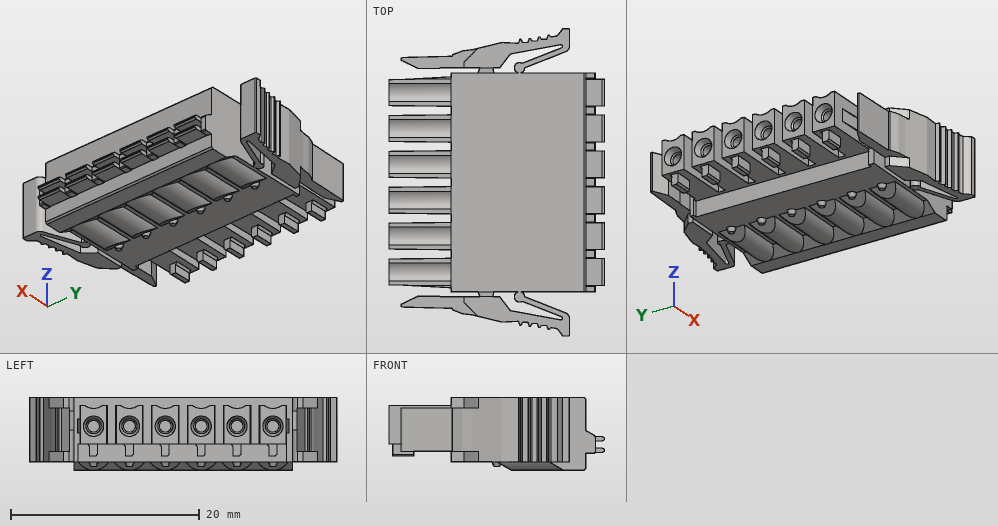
import cadquery as cq
import math


POLES = 6
PITCH = 3.81
LENGTH = 22.9
SPAN = 32.66
HEIGHT = 7.75

HOUSING_FRONT = 6.6
HOUSING_REAR = 20.93
WALL_ALLOWANCE = 0.4
HOUSING_WIDTH = POLES * PITCH + WALL_ALLOWANCE
HALF_WIDTH = HOUSING_WIDTH / 2
HOUSING_FLOOR = 0.9
REAR_CHAMFER = 0.2
FINGER_FLOOR = 2.78
FRONT_RECESS_Y_MIN = -10.95
FRONT_RECESS_Y_MAX = 11.2
FRONT_RECESS_DEPTH = 0.5

RAMP_ANGLE = 30
RAMP_RUN = HOUSING_FLOOR / math.tan(math.radians(RAMP_ANGLE))
CHAMBER_FRONT = 11.45
FOOT_FRONT = 17.0
CHAMBER_RADIUS = PITCH / 2
NUB_X = 11.45
NUB_TOP_RADIUS = 0.52
NUB_TIP_RADIUS = 0.3
NUB_DROP = 0.5

FINGER_TOP = 6.9
FINGER_TIP_WIDTH = 2.78
FINGER_ROOT_WIDTH = 2.94
GROOVE_WIDTH = 1.9
GROOVE_DEPTH = 0.33
BORE_Z = 4.68
BORE_MOUTH_RADIUS = 1.08
BORE_SEAT_RADIUS = 0.8
BORE_SEAT_DEPTH = 0.8
BORE_RADIUS = 0.63
BORE_CONE_DEPTH = 0.95
BORE_DEPTH = 3.0

KEY_START = 0.4
KEY_LENGTH = 2.25
KEY_WIDTH = 0.82
KEY_BOTTOM = 1.5
KEY_CHAMFER = 0.2
KEY_GUSSET_WIDTH = 0.2
KEY_GUSSET_HEIGHT = 0.3

WEDGE_START = 1.5
WEDGE_RISE = 0.22
WEDGE_BOTTOM = 3.97
WEDGE_TOP = 5.45

PIN_WIDTH = 2.88
PIN_THICKNESS = 0.5
PIN_LEVELS = (2.12, 3.35)
PIN_TIP_LENGTH = 0.25
PIN_TIP_THICKNESS = 0.2
RIB_REAR = 21.95
RIB_BOTTOM = 1.8
RIB_ROOT_TOP = 4.23
RIB_TIP_TOP = 3.65
RIB_CHAMFER = 0.12
RIB_WIDTH = 0.82
END_RIB_WIDTH = 0.6

LATCH_OUTER = SPAN / 2
LATCH_INNER = 12.15
LATCH_REAR = 19.2
TAIL_INSET = 1.12
LEVER_PEAK = (12.0, 14.86)
TAIL_JOINT = (8.88, 14.1)
SHOULDER_X = 9.5
TOOTH_COUNT = 4
TOOTH_PITCH = 1.0
TOOTH_START = 13.75
TOOTH_HEIGHT = 0.42
TOOTH_RISE_LENGTH = 0.15
TOOTH_CREST_LENGTH = 0.12
TOOTH_FALL_LENGTH = 0.18
GRIP_START_Y = 14.78
GRIP_SLOPE = 0.07
GRIP_CURVATURE = 0.025
LATCH_CORNER = 0.1
BALL_X = 13.87
BALL_RADIUS = 0.56
BALL_BITE = 0.02
ANCHOR_BOTTOM = 4.3
ANCHOR_TOP = 6.3
OVERLAP = 0.1

pole_positions = [(i - (POLES - 1) / 2) * PITCH for i in range(POLES)]


def box(x0, x1, y0, y1, z0, z1):
    """Box between opposite corners."""
    return cq.Workplane("XY").box(x1 - x0, y1 - y0, z1 - z0, centered=False).translate((x0, y0, z0))


def plan_prism(points, z0, z1):
    """Closed polygon in plan, extruded from z0 to z1."""
    return cq.Workplane("XY").workplane(offset=z0).polyline(points).close().extrude(z1 - z0)


def side_prism(points, y, width):
    """Closed polygon in the XZ plane, extruded to a width centred on y."""
    return cq.Workplane("XZ", origin=(0, y, 0)).polyline(points).close().extrude(width / 2, both=True)


def make_housing():
    profile = [
        (HOUSING_FRONT, HEIGHT),
        (HOUSING_FRONT, HOUSING_FLOOR),
        (FOOT_FRONT, HOUSING_FLOOR),
        (FOOT_FRONT + RAMP_RUN, 0),
        (HOUSING_REAR, 0),
        (HOUSING_REAR, HEIGHT),
    ]
    housing = side_prism(profile, 0, HOUSING_WIDTH).faces(">X").edges("|Y").chamfer(REAR_CHAMFER)
    recess = box(
        HOUSING_FRONT, HOUSING_FRONT + FRONT_RECESS_DEPTH,
        FRONT_RECESS_Y_MIN, FRONT_RECESS_Y_MAX,
        HOUSING_FLOOR, FINGER_FLOOR,
    )
    return housing.cut(recess)


def make_chamber(y):
    """Rounded chamber underside with a sloped front end, and the nub ahead of it."""
    barrel = (
        cq.Workplane("YZ", origin=(CHAMBER_FRONT, y, CHAMBER_RADIUS))
        .circle(CHAMBER_RADIUS)
        .extrude(FOOT_FRONT + RAMP_RUN - CHAMBER_FRONT)
    )
    envelope = [
        (CHAMBER_FRONT + RAMP_RUN, 0),
        (FOOT_FRONT + RAMP_RUN, 0),
        (FOOT_FRONT + RAMP_RUN, CHAMBER_RADIUS),
        (CHAMBER_FRONT, CHAMBER_RADIUS),
        (CHAMBER_FRONT, HOUSING_FLOOR),
    ]
    chamber = barrel.intersect(side_prism(envelope, y, PITCH))
    nub = (
        cq.Workplane("XY", origin=(NUB_X, y, HOUSING_FLOOR))
        .circle(NUB_TOP_RADIUS)
        .workplane(offset=-NUB_DROP)
        .circle(NUB_TIP_RADIUS)
        .loft()
    )
    return chamber.union(nub)


def make_bore(y):
    """Stepped conical wire entry, turned about the finger axis."""
    half_profile = [
        (0, 0),
        (0, BORE_MOUTH_RADIUS),
        (BORE_SEAT_DEPTH, BORE_SEAT_RADIUS),
        (BORE_CONE_DEPTH, BORE_RADIUS),
        (BORE_DEPTH, BORE_RADIUS),
        (BORE_DEPTH, 0),
    ]
    turned = cq.Workplane("XY").polyline(half_profile).close().revolve(360, (0, 0, 0), (1, 0, 0))
    return turned.translate((0, y, BORE_Z))


def make_finger(y):
    tip = FINGER_TIP_WIDTH / 2
    root = FINGER_ROOT_WIDTH / 2
    root_x = HOUSING_FRONT + FRONT_RECESS_DEPTH
    outline = [(0, y - tip), (root_x, y - root), (root_x, y + root), (0, y + tip)]
    finger = plan_prism(outline, FINGER_FLOOR, FINGER_TOP)
    groove_radius = ((GROOVE_WIDTH / 2) ** 2 + GROOVE_DEPTH ** 2) / (2 * GROOVE_DEPTH)
    groove = (
        cq.Workplane("YZ", origin=(0, y, FINGER_TOP - GROOVE_DEPTH + groove_radius))
        .circle(groove_radius)
        .extrude(HOUSING_FRONT)
    )
    key = box(
        KEY_START, KEY_START + KEY_LENGTH, y - KEY_WIDTH / 2, y + KEY_WIDTH / 2, KEY_BOTTOM, FINGER_FLOOR
    )
    key = key.edges("|X and <Y and <Z").chamfer(KEY_CHAMFER)
    key_side = y + KEY_WIDTH / 2
    gusset = (
        cq.Workplane("YZ", origin=(KEY_START, 0, 0))
        .polyline([
            (key_side, FINGER_FLOOR),
            (key_side + KEY_GUSSET_WIDTH, FINGER_FLOOR),
            (key_side, FINGER_FLOOR - KEY_GUSSET_HEIGHT),
        ])
        .close()
        .extrude(KEY_LENGTH)
    )
    return finger.union(key).union(gusset).cut(groove).cut(make_bore(y))


def make_side_wedge():
    """Tapered rib on the outer side of the +Y end finger."""
    y_end = pole_positions[-1]
    taper = (FINGER_ROOT_WIDTH - FINGER_TIP_WIDTH) / 2 * WEDGE_START / HOUSING_FRONT
    outline = [
        (WEDGE_START, y_end + FINGER_TIP_WIDTH / 2 + taper),
        (HOUSING_FRONT, y_end + FINGER_ROOT_WIDTH / 2 + WEDGE_RISE),
        (HOUSING_FRONT, y_end),
        (WEDGE_START, y_end),
    ]
    return plan_prism(outline, WEDGE_BOTTOM, WEDGE_TOP).cut(make_bore(y_end))


def make_pin(y, level):
    """Flat contact blade with a bevelled tip."""
    half = PIN_THICKNESS / 2
    half_tip = PIN_TIP_THICKNESS / 2
    bevel_start = LENGTH - PIN_TIP_LENGTH
    profile = [
        (HOUSING_REAR - OVERLAP, level - half),
        (bevel_start, level - half),
        (LENGTH, level - half_tip),
        (LENGTH, level + half_tip),
        (bevel_start, level + half),
        (HOUSING_REAR - OVERLAP, level + half),
    ]
    return side_prism(profile, y, PIN_WIDTH)


def make_rib(y, width):
    profile = [
        (HOUSING_REAR, RIB_BOTTOM),
        (RIB_REAR, RIB_BOTTOM),
        (RIB_REAR, RIB_TIP_TOP),
        (HOUSING_REAR, RIB_ROOT_TOP),
    ]
    return side_prism(profile, y, width).faces(">X").edges("|Y").chamfer(RIB_CHAMFER)


def grip_level(step):
    """Y of the concave thumb grip at a tooth number."""
    return GRIP_START_Y + GRIP_SLOPE * step + GRIP_CURVATURE * step ** 2


def make_grip_teeth():
    """Plan points of the saw-tooth grip, front to rear."""
    points = []
    for i in range(TOOTH_COUNT):
        foot = TOOTH_START + i * TOOTH_PITCH
        crest_start = foot + TOOTH_RISE_LENGTH
        crest_end = crest_start + TOOTH_CREST_LENGTH
        peak = grip_level(i) + TOOTH_HEIGHT
        points += [
            (foot, grip_level(i)),
            (crest_start, peak),
            (crest_end, peak),
            (crest_end + TOOTH_FALL_LENGTH, grip_level(i + 1)),
        ]
    return points


def make_latch():
    """Latch on the +Y side: lever body, thin tail, spring arm and anchor."""
    rise = (LEVER_PEAK[1] - TAIL_JOINT[1]) / (LEVER_PEAK[0] - TAIL_JOINT[0])
    shoulder = (SHOULDER_X, TAIL_JOINT[1] + rise * (SHOULDER_X - TAIL_JOINT[0]))
    lever_points = [
        (7.95, LATCH_INNER),
        (7.95, 12.73),
        (9.28, 14.08),
        shoulder,
        LEVER_PEAK,
        *make_grip_teeth(),
        (17.7, 15.52),
        (17.9, 15.6),
        (18.3, 16.1),
        (18.45, LATCH_OUTER),
    ]
    lever = (
        cq.Workplane("XY")
        .workplane(offset=HOUSING_FLOOR)
        .polyline(lever_points)
        .lineTo(LATCH_REAR - LATCH_CORNER, LATCH_OUTER)
        .lineTo(LATCH_REAR, LATCH_OUTER - LATCH_CORNER)
        .lineTo(LATCH_REAR, 14.4)
        .threePointArc((19.05, 14.08), (18.75, 13.85))
        .lineTo(14.3, 12.1)
        .lineTo(BALL_X, 12.1)
        .lineTo(BALL_X, 12.58)
        .lineTo(14.3, 12.71)
        .lineTo(18.28, 14.27)
        .threePointArc((18.42, 14.47), (18.22, 14.6))
        .lineTo(12.9, 13.62)
        .lineTo(11.77, LATCH_INNER)
        .close()
        .extrude(HEIGHT - HOUSING_FLOOR)
    )
    ball = (
        cq.Workplane("XY", origin=(BALL_X, HALF_WIDTH + BALL_RADIUS - BALL_BITE, HOUSING_FLOOR))
        .circle(BALL_RADIUS)
        .extrude(HEIGHT - HOUSING_FLOOR)
    )
    tail_points = [
        (1.3, 12.95),
        (3.1, 12.08),
        (5.35, 12.08),
        (5.45, LATCH_INNER),
        (SHOULDER_X, LATCH_INNER),
        shoulder,
        TAIL_JOINT,
        (7.8, 13.97),
        (6.75, 13.55),
        (6.7, 13.4),
        (1.5, 13.27),
        (1.3, 13.2),
    ]
    tail = plan_prism(tail_points, HOUSING_FLOOR + TAIL_INSET, HEIGHT - TAIL_INSET)
    anchor_points = [
        (9.45, HALF_WIDTH - OVERLAP),
        (9.45, HALF_WIDTH),
        (9.65, LATCH_INNER),
        (9.65, LATCH_INNER + OVERLAP),
        (11.05, LATCH_INNER + OVERLAP),
        (11.05, LATCH_INNER),
        (11.15, HALF_WIDTH),
        (11.15, HALF_WIDTH - OVERLAP),
    ]
    anchor = plan_prism(anchor_points, ANCHOR_BOTTOM, ANCHOR_TOP)
    return lever.union(ball).union(tail).union(anchor)


result = make_housing()

for y in pole_positions:
    result = result.union(make_chamber(y)).union(make_finger(y))
    for level in PIN_LEVELS:
        result = result.union(make_pin(y, level))

for y in pole_positions[:-1]:
    result = result.union(make_rib(y + PITCH / 2, RIB_WIDTH))

end_rib = make_rib(HALF_WIDTH - END_RIB_WIDTH / 2, END_RIB_WIDTH)
for side_feature in (make_latch(), make_side_wedge(), end_rib):
    result = result.union(side_feature).union(side_feature.mirror("XZ"))